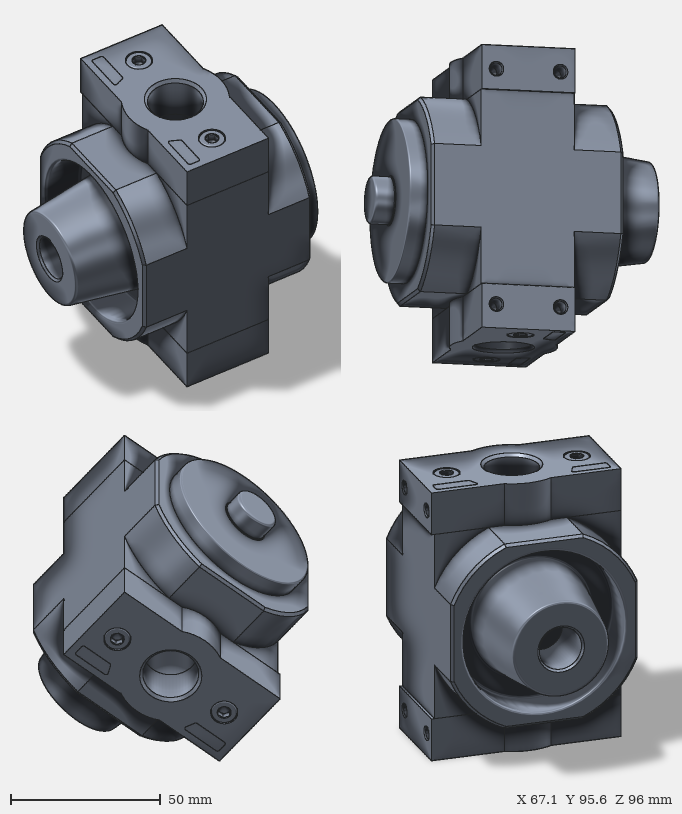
import cadquery as cq
import math

HOUSING_HALF = 33.0
HOUSING_ROUND_RADIUS = 35.8
HOUSING_CHAMFER = 1.0
MIDDLE_HALF_LENGTH = 16.0

SOCKET_RADIUS = 28.7
SOCKET_DEPTH = 13.5
SOCKET_FILLET = 1.0
NOSE_TIP_Y = -49.5
NOSE_TIP_RADIUS = 16.9
NOSE_ROOT_RADIUS = 21.3
NOSE_FILLET = 1.0
NOSE_HOLE_DIAMETER = 15.0
NOSE_HOLE_DEPTH = 20.0
NOSE_HOLE_CHAMFER = 0.8

PORT_DIAMETER = 18.6
PORT_CHAMFER = 1.1

PART_HALF_HEIGHT = 48.0
PLATE_THICKNESS = PART_HALF_HEIGHT - HOUSING_HALF
PLATE_OVERHANG = 1.1
PLATE_BOSS_RADIUS = 18.0
PLATE_LEFT = -HOUSING_HALF - PLATE_OVERHANG
PLATE_RIGHT = HOUSING_HALF

SIDE_HOLE_DIAMETER = 4.1
SIDE_HOLE_RIM_DIAMETER = 5.0
SIDE_HOLE_SPREAD = 11.0
SIDE_HOLE_FROM_OUTSIDE = 8.1
SIDE_HOLE_DEPTH = 7.7
DRILL_HALF_ANGLE = 59.0

LABEL_DEPTH = 0.1
LABEL_INNER_X = 16.3
LABEL_SLANT = 2.0
LABEL_END_MARGIN = 2.7
LABEL_BACK_Y = -9.1
LABEL_FRONT_Y = -13.5
LABEL_CORNER_RADIUS = 0.8

SCREW_X = 23.0
SCREW_HEAD_DIAMETER = 8.5
SCREW_HEAD_HEIGHT = 5.0
SCREW_HEAD_FILLET = 0.6
SCREW_SHANK_DIAMETER = 5.0
SCREW_LENGTH_IN_HOUSING = 7.7
SCREW_RECESS_DIAMETER = 9.0
HEX_ACROSS_FLATS = 4.0
HEX_DEPTH = 2.5

FLANGE_DIAMETER = 55.0
FLANGE_THICKNESS = 6.1
FLANGE_FILLET = 0.7
ROD_DIAMETER = 16.0
ROD_END_Y = 46.1
ROD_FILLET = 1.1
ROD_FLARE = 0.4

SOCKET_FLOOR_Y = SOCKET_DEPTH - HOUSING_HALF
HEX_CORNER_DIAMETER = HEX_ACROSS_FLATS / math.cos(math.radians(30))
SCREW_SEAT_Z = PART_HALF_HEIGHT - SCREW_HEAD_HEIGHT
SCREW_TIP_Z = HOUSING_HALF - SCREW_LENGTH_IN_HOUSING
FLANGE_FACE_Y = HOUSING_HALF + FLANGE_THICKNESS


def y_cylinder(diameter, start_y, end_y):
    """Cylinder on the Y axis between two stations."""
    plane = cq.Workplane("XZ", origin=(0, start_y, 0))
    return plane.circle(diameter / 2).extrude(start_y - end_y)


def z_cylinder(diameter, bottom_z, top_z, x=0):
    """Vertical cylinder between two heights."""
    plane = cq.Workplane("XY", origin=(x, 0, bottom_z))
    return plane.circle(diameter / 2).extrude(top_z - bottom_z)


def drill_tip(diameter):
    """Height of the cone that a drill leaves at the bottom of a hole."""
    return diameter / 2 / math.tan(math.radians(DRILL_HALF_ANGLE))


def make_housing_block():
    side = 2 * HOUSING_HALF
    ends = cq.Workplane("XY").box(side, side, side)
    ends = ends.intersect(y_cylinder(2 * HOUSING_ROUND_RADIUS, -HOUSING_HALF, HOUSING_HALF))
    ends = ends.faces("<Y or >Y").chamfer(HOUSING_CHAMFER)
    middle = cq.Workplane("XY").box(side, 2 * MIDDLE_HALF_LENGTH, side)
    return ends.union(middle)


def smallest_circle(edges):
    """The round edge of least radius among the selected edges."""
    return edges.edges("%CIRCLE").edges(cq.selectors.RadiusNthSelector(0))


def make_nose():
    nose = (
        cq.Workplane("XY")
        .moveTo(0, NOSE_TIP_Y)
        .lineTo(NOSE_TIP_RADIUS, NOSE_TIP_Y)
        .lineTo(NOSE_ROOT_RADIUS, SOCKET_FLOOR_Y)
        .lineTo(0, SOCKET_FLOOR_Y)
        .close()
        .revolve(360, (0, 0), (0, 1))
    )
    return nose.faces("<Y").edges().fillet(NOSE_FILLET)


def make_nose_hole():
    hole_end_y = NOSE_TIP_Y + NOSE_HOLE_DEPTH
    hole = y_cylinder(NOSE_HOLE_DIAMETER, NOSE_TIP_Y, hole_end_y)
    radius = NOSE_HOLE_DIAMETER / 2
    rim = cq.Solid.makeCone(
        radius + NOSE_HOLE_CHAMFER,
        radius,
        NOSE_HOLE_CHAMFER,
        pnt=cq.Vector(0, NOSE_TIP_Y, 0),
        dir=cq.Vector(0, 1, 0),
    )
    return hole.union(cq.Workplane(rim))


def make_housing():
    housing = make_housing_block()

    socket = y_cylinder(2 * SOCKET_RADIUS, -HOUSING_HALF, SOCKET_FLOOR_Y)
    socket = socket.faces(">Y").edges().fillet(SOCKET_FILLET)
    housing = housing.cut(socket)
    housing = smallest_circle(housing.faces("<Y").edges()).fillet(SOCKET_FILLET)

    housing = housing.union(make_nose())
    floor = housing.faces(cq.selectors.NearestToPointSelector((0, SOCKET_FLOOR_Y, 0)))
    housing = smallest_circle(floor.edges()).fillet(NOSE_FILLET)
    housing = housing.cut(make_nose_hole())

    housing = housing.cut(z_cylinder(PORT_DIAMETER, -HOUSING_HALF, HOUSING_HALF))
    for x in (-SCREW_X, SCREW_X):
        top_hole = z_cylinder(SCREW_SHANK_DIAMETER, SCREW_TIP_Z, HOUSING_HALF, x)
        housing = housing.cut(top_hole).cut(top_hole.mirror("XY"))
    return housing


def make_side_hole(y):
    """Drilled hole with a cone bottom and a chamfered rim, in the -X end of the top plate."""
    radius = SIDE_HOLE_DIAMETER / 2
    rim_radius = SIDE_HOLE_RIM_DIAMETER / 2
    return (
        cq.Workplane("XY")
        .moveTo(0, 0)
        .lineTo(0, rim_radius)
        .lineTo(rim_radius - radius, radius)
        .lineTo(SIDE_HOLE_DEPTH, radius)
        .lineTo(SIDE_HOLE_DEPTH + drill_tip(SIDE_HOLE_DIAMETER), 0)
        .close()
        .revolve(360, (0, 0), (1, 0))
        .translate((PLATE_LEFT, y, PART_HALF_HEIGHT - SIDE_HOLE_FROM_OUTSIDE))
    )


def make_label(plate_end_x):
    """Shallow recess with a slanted inner end, next to one end of the top plate."""
    side = math.copysign(1, plate_end_x)
    outer_x = plate_end_x - side * LABEL_END_MARGIN
    outline = [
        (outer_x, LABEL_BACK_Y),
        (outer_x, LABEL_FRONT_Y),
        (side * LABEL_INNER_X, LABEL_FRONT_Y),
        (side * (LABEL_INNER_X + LABEL_SLANT), LABEL_BACK_Y),
    ]
    plane = cq.Workplane("XY", origin=(0, 0, PART_HALF_HEIGHT - LABEL_DEPTH))
    recess = plane.polyline(outline).close().extrude(LABEL_DEPTH)
    return recess.edges("|Z").fillet(LABEL_CORNER_RADIUS)


def make_top_plate():
    slab = cq.Workplane("XY").box(
        PLATE_RIGHT - PLATE_LEFT,
        2 * MIDDLE_HALF_LENGTH,
        PLATE_THICKNESS,
        centered=(False, True, False),
    )
    plate = slab.translate((PLATE_LEFT, 0, HOUSING_HALF))
    plate = plate.union(z_cylinder(2 * PLATE_BOSS_RADIUS, HOUSING_HALF, PART_HALF_HEIGHT))

    plate = plate.cut(z_cylinder(PORT_DIAMETER, HOUSING_HALF, PART_HALF_HEIGHT))
    plate = smallest_circle(plate.faces(">Z").edges()).chamfer(PORT_CHAMFER)

    for x in (-SCREW_X, SCREW_X):
        plate = plate.cut(z_cylinder(SCREW_SHANK_DIAMETER, HOUSING_HALF, PART_HALF_HEIGHT, x))
        plate = plate.cut(z_cylinder(SCREW_RECESS_DIAMETER, SCREW_SEAT_Z, PART_HALF_HEIGHT, x))

    for y in (-SIDE_HOLE_SPREAD, SIDE_HOLE_SPREAD):
        plate = plate.cut(make_side_hole(y))
    for plate_end_x in (PLATE_LEFT, PLATE_RIGHT):
        plate = plate.cut(make_label(plate_end_x))
    return plate


def make_top_screw(x):
    """Cap screw whose head is flush with the top plate; its hexagon socket ends in a cone."""
    head = z_cylinder(SCREW_HEAD_DIAMETER, SCREW_SEAT_Z, PART_HALF_HEIGHT, x)
    head = head.faces(">Z").edges().fillet(SCREW_HEAD_FILLET)
    screw = head.union(z_cylinder(SCREW_SHANK_DIAMETER, SCREW_TIP_Z, SCREW_SEAT_Z, x))

    socket_z = PART_HALF_HEIGHT - HEX_DEPTH
    socket = (
        cq.Workplane("XY", origin=(x, 0, socket_z))
        .polygon(6, HEX_CORNER_DIAMETER)
        .extrude(HEX_DEPTH)
    )
    tip_height = drill_tip(HEX_ACROSS_FLATS)
    tip = cq.Solid.makeCone(0, HEX_ACROSS_FLATS / 2, tip_height, pnt=cq.Vector(x, 0, socket_z - tip_height))
    rim_height = HEX_CORNER_DIAMETER / 2 - HEX_ACROSS_FLATS / 2
    rim = cq.Solid.makeCone(
        HEX_ACROSS_FLATS / 2,
        HEX_CORNER_DIAMETER / 2,
        rim_height,
        pnt=cq.Vector(x, 0, PART_HALF_HEIGHT - rim_height),
    )
    return screw.cut(socket).cut(cq.Workplane(tip)).cut(cq.Workplane(rim))


def make_flange():
    flange = y_cylinder(FLANGE_DIAMETER, HOUSING_HALF, FLANGE_FACE_Y)
    flange = flange.faces(">Y").edges().fillet(FLANGE_FILLET)
    return flange.cut(y_cylinder(ROD_DIAMETER, HOUSING_HALF, FLANGE_FACE_Y))


def make_rod():
    rod = y_cylinder(ROD_DIAMETER, HOUSING_HALF, ROD_END_Y)
    rod = rod.faces(">Y").edges().fillet(ROD_FILLET)
    flare = cq.Solid.makeCone(
        ROD_DIAMETER / 2 + ROD_FLARE,
        ROD_DIAMETER / 2,
        ROD_FLARE,
        pnt=cq.Vector(0, FLANGE_FACE_Y, 0),
        dir=cq.Vector(0, 1, 0),
    )
    return rod.union(cq.Workplane(flare))


housing = make_housing()
flange = make_flange()
rod = make_rod()

top_plate = make_top_plate()
plates = [top_plate.val(), top_plate.mirror("XY").val()]
screws = []
for screw_x in (-SCREW_X, SCREW_X):
    top_screw = make_top_screw(screw_x)
    screws += [top_screw.val(), top_screw.mirror("XY").val()]

result = cq.Compound.makeCompound([housing.val(), *plates, *screws, flange.val(), rod.val()])